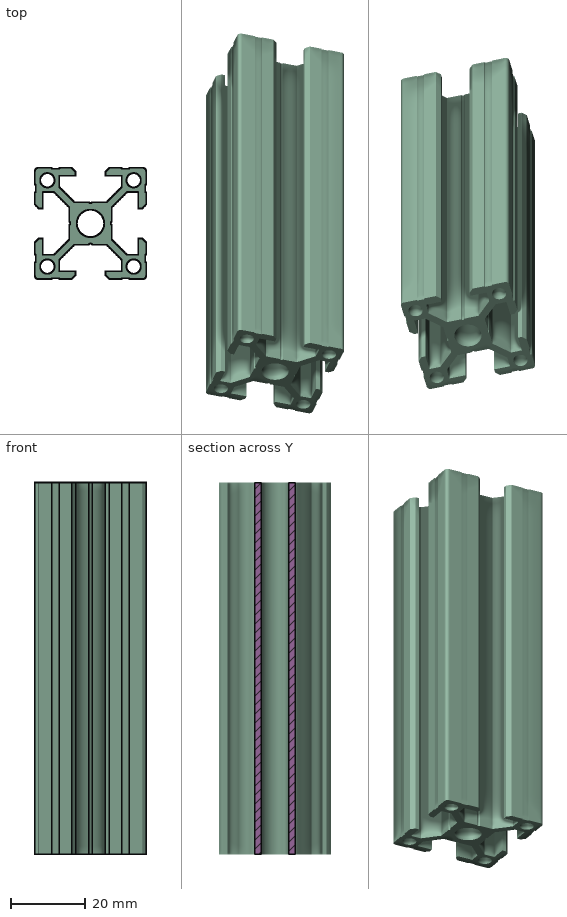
import cadquery as cq
import math

width = 30.0
length = 100.0
half_width = width / 2

center_bore = 7.3
corner_bore = 3.8
corner_bore_offset = 11.6

slot_half_opening = 4.0
slot_half_cavity = 8.4
lip_thickness = 2.2
lip_chamfer = 1.1

core_width = 11.5
web_thickness = 2.0

corner_radius = 1.0
groove_inner = slot_half_cavity
groove_outer = 10.4
groove_depth = 0.25
notch_half_width = 0.45
notch_depth = 0.3

core_half_width = core_width / 2
lip_inner = half_width - lip_thickness
web_shift = web_thickness / math.sqrt(2)


def slot_tool():
    """T-slot opening on the +Y side, including its flared mouth and rounded floor notch."""
    half_outline = [
        (notch_half_width, core_half_width),
        (core_half_width - web_shift, core_half_width),
        (slot_half_cavity, slot_half_cavity + web_shift),
        (slot_half_cavity, lip_inner),
        (slot_half_opening, lip_inner),
        (slot_half_opening, half_width - lip_chamfer),
        (slot_half_opening + lip_chamfer, half_width),
    ]
    mirrored = [(-x, y) for x, y in reversed(half_outline)]
    notch_bottom = (0, core_half_width - notch_depth)
    return (
        cq.Workplane("XY")
        .polyline(half_outline + mirrored)
        .threePointArc(notch_bottom, half_outline[0])
        .close()
        .extrude(length)
    )


def groove_tools():
    """Pair of shallow rectangular grooves in the +Y face, one on each side of the slot."""
    groove_center = (groove_inner + groove_outer) / 2
    return (
        cq.Workplane("XY")
        .pushPoints([(-groove_center, half_width), (groove_center, half_width)])
        .rect(groove_outer - groove_inner, 2 * groove_depth)
        .extrude(length)
    )


bar = cq.Workplane("XY").rect(width, width).extrude(length).edges("|Z").fillet(corner_radius)

side_count = 4
for side in range(side_count):
    side_angle = side * 360 / side_count
    for tool in (slot_tool(), groove_tools()):
        bar = bar.cut(tool.rotate((0, 0, 0), (0, 0, 1), side_angle))

bar = bar.faces(">Z").workplane(origin=(0, 0, length)).hole(center_bore)
bar = (
    bar.faces(">Z")
    .workplane(origin=(0, 0, length))
    .rect(2 * corner_bore_offset, 2 * corner_bore_offset, forConstruction=True)
    .vertices()
    .hole(corner_bore)
)

result = bar